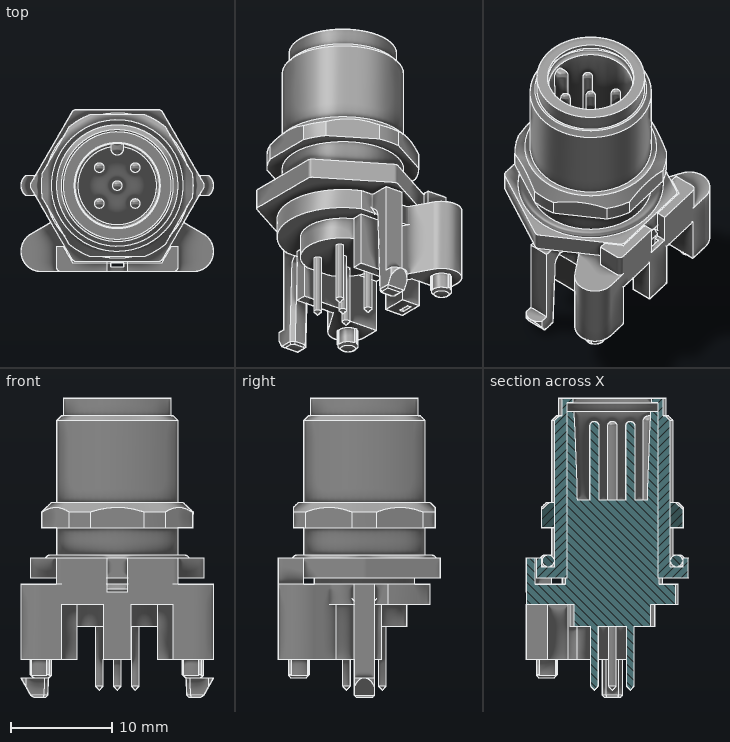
import cadquery as cq
import math


TOTAL_HEIGHT = 29.5
FLANGE_TOP = 13.75
FLANGE_THICKNESS = 2.0
FLANGE_BOTTOM = FLANGE_TOP - FLANGE_THICKNESS
PLATE_TOP = 11.15
PLATE_THICKNESS = 2.0
PLATE_BOTTOM = PLATE_TOP - PLATE_THICKNESS
FOOT_BOTTOM = 3.72

SHELL_RADIUS = 6.0
SHELL_CHAMFER = 0.47
LIP_RADIUS = 5.3
LIP_HEIGHT = 1.75
MOUTH_RADIUS = 4.25
MOUTH_DEPTH = 0.47
BORE_RADIUS = 4.8
FLANGE_FLATS = 15.0
FLANGE_CORNER_RADIUS = 0.5

RING_SECTION_RADIUS = 0.6
RING_PROTRUSION = 0.3
RING_CENTER_RADIUS = SHELL_RADIUS + RING_SECTION_RADIUS
RING_CENTER_Z = FLANGE_TOP + RING_PROTRUSION - RING_SECTION_RADIUS

NUT_FLATS = 14.0
NUT_CORNER_RADIUS = 7.5
NUT_BOTTOM = 16.7
NUT_HEIGHT = 2.5
NUT_CHAMFER_WIDTH = 1.0
NUT_CHAMFER_HEIGHT = 0.95

CUP_RIM_Z = 28.17
CUP_RIM_RADIUS = 4.15
CUP_FLOOR_RADIUS = 3.85
CUP_FLOOR_Z = 19.47
NECK_RADIUS = 4.95
STUB_RADIUS = 4.2
STUB_BOTTOM = 6.95

KEY_RADIUS = 0.62
KEY_CENTER_Y = 3.63
KEY_TOP = 27.75

PIN_OFFSET = 1.77
PIN_RADIUS = 0.47
PIN_TOP = 27.2
TAIL_RADIUS = 0.38
TAIL_CONE_Z = 1.1
TAIL_TIP_Z = 0.68

HALF_WIDTH = 9.5
FRONT_Y = -8.5
PLATE_RADIUS = 6.5
PLATE_FLAT_X = 6.05
PLATE_FOOT_FILLET = 0.38
FOOT_RADIUS = 2.0
FOOT_CENTER_X = HALF_WIDTH - FOOT_RADIUS
FOOT_CENTER_Y = FRONT_Y + FOOT_RADIUS
FOOT_INNER_X = 5.5
FOOT_ANGLE = math.radians(30)
SLANT_X = FOOT_CENTER_X + FOOT_RADIUS * math.sin(FOOT_ANGLE)
SLANT_Y = FOOT_CENTER_Y + FOOT_RADIUS * math.cos(FOOT_ANGLE)
WALL_INNER_X = 3.95
WALL_THICKNESS = 1.18
WALL_OUTER_X = WALL_INNER_X + WALL_THICKNESS
WALL_REAR_Y = 1.7
MIDDLE_LEG_WIDTH = 2.7
MIDDLE_LEG_DEPTH = 2.1

BLOCK_HALF_WIDTH = 6.0
BLOCK_REAR_Y = -6.0
BLOCK_FILLET = 0.47
FLANGE_CLEARANCE = 0.12
SLOT_WIDTH = 2.06
SLOT_FLOOR_Z = 10.38
SLOT_CHAMFER = 0.47
SLOT_REAR_Y = -FLANGE_FLATS / 2 - FLANGE_CLEARANCE
DRAIN_WIDTH = 1.25
DRAIN_DEPTH = 0.4

PEG_RADIUS = 1.0
PEG_BOTTOM = 1.9
PEG_CHAMFER = 0.35
PEG_RIB_RADIUS = 1.1
PEG_RIB_WIDTH = 0.3
PEG_RIB_COUNT = 3
PEG_RIB_START_ANGLE = 70.0

HOOK_WIDTH = 2.0
HOOK_OUTER_X = 8.23
HOOK_INNER_TOP_X = 6.5
HOOK_INNER_BOTTOM_X = 6.85
HOOK_LEDGE_Z = 1.92
HOOK_TOE_X = 8.45
HOOK_NOSE_RADIUS = 1.25
HOOK_EDGE_CHAMFER = 0.38
HOOK_BOTTOM_CHAMFER = 0.2
HOOK_ROOT_FILLET = 0.65
ARM_FILLET = 0.2


def cylinder(radius, bottom, top):
    return cq.Workplane("XY").workplane(offset=bottom).circle(radius).extrude(top - bottom)


def box(x_min, x_max, y_min, y_max, z_min, z_max):
    size = (x_max - x_min, y_max - y_min, z_max - z_min)
    return cq.Workplane("XY").box(*size, centered=False).translate((x_min, y_min, z_min))


def hexagon(flats, bottom, height):
    """Hexagonal prism with one pair of flats facing +Y and -Y."""
    corner_diameter = flats / math.cos(math.pi / 6)
    return cq.Workplane("XY").workplane(offset=bottom).polygon(6, corner_diameter).extrude(height)


def mirrored_pair(shape):
    return shape.union(shape.mirror("YZ"))


def make_shell():
    barrel_top = TOTAL_HEIGHT - LIP_HEIGHT
    barrel = cylinder(SHELL_RADIUS, FLANGE_BOTTOM, barrel_top).faces(">Z").chamfer(SHELL_CHAMFER)
    lip = cylinder(LIP_RADIUS, barrel_top, TOTAL_HEIGHT)
    flange = hexagon(FLANGE_FLATS, FLANGE_BOTTOM, FLANGE_THICKNESS)
    flange = flange.edges("|Z").fillet(FLANGE_CORNER_RADIUS)
    groove_bottom = RING_CENTER_Z - RING_SECTION_RADIUS
    groove = cylinder(RING_CENTER_RADIUS + RING_SECTION_RADIUS, groove_bottom, FLANGE_TOP)
    groove = groove.cut(cylinder(SHELL_RADIUS, groove_bottom, FLANGE_TOP))
    bore = cylinder(BORE_RADIUS, FLANGE_BOTTOM, TOTAL_HEIGHT - MOUTH_DEPTH)
    mouth = cylinder(MOUTH_RADIUS, FLANGE_BOTTOM, TOTAL_HEIGHT)
    return flange.cut(groove).union(barrel).union(lip).cut(bore).cut(mouth)


def make_ring():
    section = cq.Workplane("XZ").center(RING_CENTER_RADIUS, RING_CENTER_Z).circle(RING_SECTION_RADIUS)
    return section.revolve(360, (-RING_CENTER_RADIUS, 0), (-RING_CENTER_RADIUS, 1))


def make_nut():
    nut_top = NUT_BOTTOM + NUT_HEIGHT
    envelope = cylinder(NUT_CORNER_RADIUS, NUT_BOTTOM, nut_top)
    envelope = envelope.faces(">Z").chamfer(NUT_CHAMFER_HEIGHT, NUT_CHAMFER_WIDTH)
    nut = hexagon(NUT_FLATS, NUT_BOTTOM, NUT_HEIGHT).intersect(envelope)
    return nut.cut(cylinder(SHELL_RADIUS, NUT_BOTTOM, nut_top))


def make_insert():
    """Tapered cup inside the shell bore, neck under the flange and stub under the plate."""
    cup = cylinder(BORE_RADIUS, FLANGE_BOTTOM, CUP_RIM_Z)
    cavity = (
        cq.Workplane("XZ")
        .moveTo(0, CUP_FLOOR_Z)
        .lineTo(CUP_FLOOR_RADIUS, CUP_FLOOR_Z)
        .lineTo(CUP_RIM_RADIUS, CUP_RIM_Z)
        .lineTo(0, CUP_RIM_Z)
        .close()
        .revolve(360, (0, 0), (0, 1))
    )
    cup = cup.cut(cavity)
    neck = cylinder(NECK_RADIUS, PLATE_BOTTOM, FLANGE_BOTTOM)
    stub = cylinder(STUB_RADIUS, STUB_BOTTOM, PLATE_BOTTOM)
    return cup.union(neck).union(stub)


def make_coding_key():
    """Rib along the cup wall, with a rounded top and nose."""
    round_z = KEY_TOP - KEY_RADIUS
    reach = BORE_RADIUS - KEY_CENTER_Y
    nose = cylinder(KEY_RADIUS, CUP_FLOOR_Z, round_z)
    dome = cq.Workplane("XY").sphere(KEY_RADIUS).translate((0, 0, round_z))
    web = box(-KEY_RADIUS, KEY_RADIUS, 0, reach, CUP_FLOOR_Z, round_z)
    crest = cq.Workplane("XZ", origin=(0, 0, round_z)).circle(KEY_RADIUS).extrude(-reach)
    key = nose.union(dome).union(web).union(crest).translate((0, KEY_CENTER_Y, 0))
    return key.intersect(cylinder(BORE_RADIUS, CUP_FLOOR_Z, KEY_TOP))


def make_pin(x, y):
    """Contact pin with a domed upper end and a pointed solder tail."""
    dome_z = PIN_TOP - PIN_RADIUS
    dome_middle = PIN_RADIUS * math.cos(math.pi / 4)
    profile = (
        cq.Workplane("XZ")
        .moveTo(0, TAIL_TIP_Z)
        .lineTo(TAIL_RADIUS, TAIL_CONE_Z)
        .lineTo(TAIL_RADIUS, PLATE_BOTTOM)
        .lineTo(PIN_RADIUS, PLATE_BOTTOM)
        .lineTo(PIN_RADIUS, dome_z)
        .threePointArc((dome_middle, dome_z + dome_middle), (0, PIN_TOP))
        .close()
    )
    return profile.revolve(360, (0, 0), (0, 1)).translate((x, y, 0))


def slant_y_at(x):
    """Y of the slanted rear face of the +X foot."""
    return SLANT_Y + (SLANT_X - x) * math.tan(FOOT_ANGLE)


def make_foot():
    """Foot on the +X side: rounded outer end, slanted web and a straight wall beside the stub."""
    web_drop = WALL_THICKNESS / math.cos(FOOT_ANGLE)
    outline = (
        cq.Workplane("XY")
        .workplane(offset=FOOT_BOTTOM)
        .moveTo(FOOT_INNER_X, FRONT_Y)
        .lineTo(FOOT_CENTER_X, FRONT_Y)
        .threePointArc((HALF_WIDTH, FOOT_CENTER_Y), (SLANT_X, SLANT_Y))
        .lineTo(WALL_OUTER_X, slant_y_at(WALL_OUTER_X))
        .lineTo(WALL_OUTER_X, WALL_REAR_Y)
        .lineTo(WALL_INNER_X, WALL_REAR_Y)
        .lineTo(WALL_INNER_X, slant_y_at(WALL_INNER_X) - web_drop)
        .lineTo(FOOT_INNER_X, slant_y_at(FOOT_INNER_X) - web_drop)
        .close()
    )
    return outline.extrude(PLATE_TOP - FOOT_BOTTOM)


def make_hook():
    """Snap hook on the +X side: springy leg hanging from an arm, with a nose pointing outwards."""
    half_width = HOOK_WIDTH / 2
    hook = (
        cq.Workplane("XZ", origin=(0, half_width, 0))
        .moveTo(HOOK_INNER_BOTTOM_X, 0)
        .lineTo(HOOK_TOE_X, 0)
        .lineTo(HALF_WIDTH, HOOK_LEDGE_Z)
        .lineTo(HOOK_OUTER_X, HOOK_LEDGE_Z)
        .lineTo(HOOK_OUTER_X, PLATE_TOP)
        .lineTo(WALL_OUTER_X, PLATE_TOP)
        .lineTo(WALL_OUTER_X, PLATE_BOTTOM)
        .lineTo(HOOK_INNER_TOP_X, PLATE_BOTTOM)
        .close()
        .extrude(HOOK_WIDTH)
    )
    root = (HOOK_INNER_TOP_X, 0, PLATE_BOTTOM)
    hook = hook.edges(cq.NearestToPointSelector(root)).fillet(HOOK_ROOT_FILLET)
    leg_middle_x = (HOOK_INNER_TOP_X + HOOK_INNER_BOTTOM_X) / 2
    leg_middle_z = PLATE_BOTTOM / 2
    for side in (-half_width, half_width):
        edge_middle = (leg_middle_x, side, leg_middle_z)
        hook = hook.edges(cq.NearestToPointSelector(edge_middle)).chamfer(HOOK_EDGE_CHAMFER)
    hook = hook.faces("<Z").chamfer(HOOK_BOTTOM_CHAMFER)
    nose_center_x = HALF_WIDTH - HOOK_NOSE_RADIUS
    nose_round = cylinder(HOOK_NOSE_RADIUS, 0, PLATE_TOP).translate((nose_center_x, 0, 0))
    inboard = box(0, nose_center_x, -half_width, half_width, 0, PLATE_TOP)
    return hook.intersect(nose_round.union(inboard))


def make_peg():
    """Locating peg with crush ribs, centred on the Z axis."""
    peg = cylinder(PEG_RADIUS, PEG_BOTTOM, FOOT_BOTTOM)
    for number in range(PEG_RIB_COUNT):
        rib = box(0, PEG_RIB_RADIUS, -PEG_RIB_WIDTH / 2, PEG_RIB_WIDTH / 2, PEG_BOTTOM, FOOT_BOTTOM)
        angle = PEG_RIB_START_ANGLE + number * 360 / PEG_RIB_COUNT
        peg = peg.union(rib.rotate((0, 0, 0), (0, 0, 1), angle))
    envelope = cylinder(PEG_RIB_RADIUS, PEG_BOTTOM, FOOT_BOTTOM).faces("<Z").chamfer(PEG_CHAMFER)
    return peg.intersect(envelope)


def make_block():
    """Block in front of the flange, hollowed to the outline of the flange."""
    block = box(-BLOCK_HALF_WIDTH, BLOCK_HALF_WIDTH, FRONT_Y, BLOCK_REAR_Y, PLATE_TOP, FLANGE_TOP)
    block = block.edges("|Z and <Y").fillet(BLOCK_FILLET)
    pocket = hexagon(FLANGE_FLATS + 2 * FLANGE_CLEARANCE, PLATE_TOP, FLANGE_TOP - PLATE_TOP)
    return block.cut(pocket)


def make_plate():
    """Round plate with flats on both sides, reaching forward to the front face."""
    disc = cylinder(PLATE_RADIUS, PLATE_BOTTOM, PLATE_TOP)
    disc = disc.intersect(
        box(-PLATE_FLAT_X, PLATE_FLAT_X, -PLATE_RADIUS, PLATE_RADIUS, PLATE_BOTTOM, PLATE_TOP)
    )
    front = box(-PLATE_FLAT_X, PLATE_FLAT_X, FRONT_Y, 0, PLATE_BOTTOM, PLATE_TOP)
    return disc.union(front)


def cut_slot(bracket):
    """Slot through the block, with a sloped rear edge and a small drain through the middle leg."""
    half_slot = SLOT_WIDTH / 2
    slot = box(-half_slot, half_slot, FRONT_Y, SLOT_REAR_Y, SLOT_FLOOR_Z, FLANGE_TOP)
    slope = (
        cq.Workplane("YZ", origin=(-half_slot, 0, 0))
        .moveTo(SLOT_REAR_Y, PLATE_TOP)
        .lineTo(SLOT_REAR_Y, PLATE_TOP - SLOT_CHAMFER)
        .lineTo(SLOT_REAR_Y + SLOT_CHAMFER, PLATE_TOP)
        .close()
        .extrude(SLOT_WIDTH)
    )
    half_drain = DRAIN_WIDTH / 2
    drain_front = SLOT_REAR_Y - DRAIN_DEPTH
    drain = box(-half_drain, half_drain, drain_front, SLOT_REAR_Y, FOOT_BOTTOM, SLOT_FLOOR_Z)
    return bracket.cut(slot).cut(slope).cut(drain)


def make_bracket():
    """Plate with feet, hooks, middle leg, block and pegs."""
    half_leg = MIDDLE_LEG_WIDTH / 2
    middle_leg = box(-half_leg, half_leg, FRONT_Y, FRONT_Y + MIDDLE_LEG_DEPTH, FOOT_BOTTOM, PLATE_BOTTOM)
    bracket = make_plate().union(mirrored_pair(make_foot())).union(mirrored_pair(make_hook()))
    plate_middle_z = (PLATE_TOP + PLATE_BOTTOM) / 2
    for side in (-1, 1):
        for corner_y, radius in (
            (HOOK_WIDTH / 2, ARM_FILLET),
            (-HOOK_WIDTH / 2, ARM_FILLET),
            (slant_y_at(PLATE_FLAT_X), PLATE_FOOT_FILLET),
        ):
            corner = (side * PLATE_FLAT_X, corner_y, plate_middle_z)
            bracket = bracket.edges(cq.NearestToPointSelector(corner)).fillet(radius)
    bracket = cut_slot(bracket.union(middle_leg).union(make_block()))
    for side in (-1, 1):
        bracket = bracket.union(make_peg().translate((side * FOOT_CENTER_X, FOOT_CENTER_Y, 0)))
    return bracket


def make_carrier():
    carrier = make_bracket().union(make_insert()).union(make_coding_key())
    corner_places = [(x, y) for x in (-PIN_OFFSET, PIN_OFFSET) for y in (-PIN_OFFSET, PIN_OFFSET)]
    for x, y in [(0, 0)] + corner_places:
        carrier = carrier.union(make_pin(x, y))
    return carrier


shell = make_shell()
ring = make_ring()
nut = make_nut()
carrier = make_carrier()

result = cq.Compound.makeCompound([shell.val(), ring.val(), nut.val(), carrier.val()])